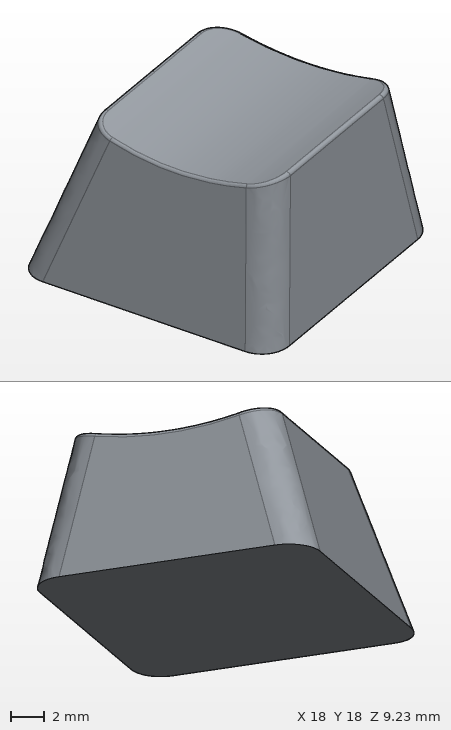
import cadquery as cq
import math

base_side = 18.0
corner_radius = 2.0

blank_height = 9.9
side_lean = 15.0
front_lean = 23.2

dish_radius = 22.5
dish_floor = 8.33

rim_fillet = 0.25


def make_blank():
    """Tapered body with an upright back wall and rounded corner edges."""
    top_width = base_side - 2 * blank_height * math.tan(math.radians(side_lean))
    front_inset = blank_height * math.tan(math.radians(front_lean))
    top_length = base_side - front_inset
    return (
        cq.Workplane("XY")
        .rect(base_side, base_side)
        .workplane(offset=blank_height)
        .center(0, front_inset / 2)
        .rect(top_width, top_length)
        .loft(ruled=True)
        .edges("not #Z")
        .fillet(corner_radius)
    )


def make_dish():
    """Cylinder that hollows the top face from front to back."""
    return (
        cq.Workplane("XZ")
        .center(0, dish_floor + dish_radius)
        .circle(dish_radius)
        .extrude(base_side, both=True)
    )


dished = make_blank().cut(make_dish())
dish_face = dished.faces(cq.selectors.NearestToPointSelector((0, 0, dish_floor)))
result = dish_face.edges().fillet(rim_fillet)